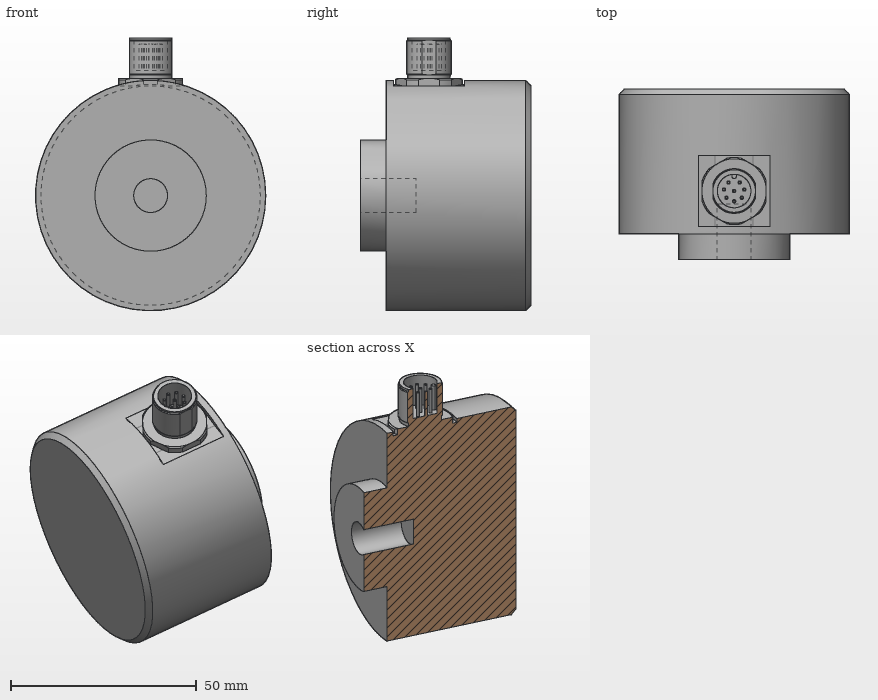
import cadquery as cq
import math

body_radius = 31.0
body_length = 39.0
body_chamfer = 1.5

boss_radius = 15.0
boss_length = 7.0
hole_radius = 4.55
hole_depth = 15.0

pocket_floor_z = 29.45
pocket_crown_radius = 29.9
pocket_length = 19.0
pocket_front_margin = 2.0

nut_across_flats = 17.2
nut_diameter = 18.1
nut_top_z = body_radius + 0.5
nut_chamfer = 0.4

connector_top_z = 42.45
neck_length = 0.95
barrel_diameter = 12.05
barrel_radius = barrel_diameter / 2
barrel_across_flats = 11.45
rim_length = 0.6
barrel_taper_length = 0.2
socket_diameter = 9.0
socket_radius = socket_diameter / 2
socket_depth = 8.8

ring_pin_count = 7
pin_ring_diameter = 5.5
pin_ring_radius = pin_ring_diameter / 2
pin_angle_step = 49.0
pin_radius = 0.45
pin_chamfer = 0.15
key_width = 1.2
key_reach = 1.2
pin_recess = 1.7

neck_radius = barrel_across_flats / 2

body_front_y = -body_length / 2
connector_y = body_front_y + pocket_front_margin + pocket_length / 2
socket_floor_z = connector_top_z - socket_depth
pin_top_z = connector_top_z - pin_recess


def cylinder_along_y(radius, start_y, length):
    return cq.Workplane("XZ", origin=(0, start_y, 0)).circle(radius).extrude(-length)


def connector_plane(z):
    return cq.Workplane("XY", origin=(0, connector_y, z))


def make_housing():
    body = cylinder_along_y(body_radius, body_front_y, body_length)
    body = body.faces(">Y").chamfer(body_chamfer)
    boss = cylinder_along_y(boss_radius, body_front_y - boss_length, boss_length)
    hole = cylinder_along_y(hole_radius, body_front_y - boss_length, hole_depth)
    return body.union(boss).cut(hole)


def make_pocket():
    """Flat-floored recess whose middle follows a slightly smaller cylinder."""
    width = 2 * body_radius
    height = body_radius - pocket_floor_z
    recess = connector_plane(pocket_floor_z).rect(width, pocket_length).extrude(height)
    crown = cylinder_along_y(pocket_crown_radius, connector_y - pocket_length / 2, pocket_length)
    return recess.cut(crown)


def make_nut():
    height = nut_top_z - pocket_floor_z
    across_corners = nut_across_flats / math.cos(math.radians(30))
    hexagon = connector_plane(pocket_floor_z).transformed(rotate=(0, 0, 30))
    hexagon = hexagon.polygon(6, across_corners).extrude(height)
    rounding = connector_plane(pocket_floor_z).circle(nut_diameter / 2).extrude(height)
    rounding = rounding.faces(">Z").chamfer(nut_chamfer)
    return hexagon.intersect(rounding)


def make_barrel():
    """Turned barrel with a narrower neck and rim, flats on +X and -X, and a socket."""
    length = connector_top_z - nut_top_z
    barrel_end = length - rim_length
    outline = (
        cq.Workplane("XZ", origin=(0, connector_y, nut_top_z))
        .lineTo(neck_radius, 0)
        .lineTo(neck_radius, neck_length)
        .lineTo(barrel_radius, neck_length + barrel_taper_length)
        .lineTo(barrel_radius, barrel_end - barrel_taper_length)
        .lineTo(neck_radius, barrel_end)
        .lineTo(neck_radius, length)
        .lineTo(0, length)
        .close()
    )
    turned = outline.revolve(360, (0, 0, 0), (0, 1, 0))
    flats = connector_plane(nut_top_z).rect(barrel_across_flats, barrel_diameter)
    flats = flats.extrude(length)
    socket = connector_plane(socket_floor_z).circle(socket_radius).extrude(socket_depth)
    return turned.intersect(flats).cut(socket)


def make_pins():
    """One centre pin and a ring of pins with a wider gap beside the key."""
    first_angle = -90 - pin_angle_step * (ring_pin_count - 1) / 2
    centres = [(0, 0)]
    for index in range(ring_pin_count):
        angle = math.radians(first_angle + index * pin_angle_step)
        centres.append((pin_ring_radius * math.cos(angle), pin_ring_radius * math.sin(angle)))
    pins = connector_plane(socket_floor_z).pushPoints(centres).circle(pin_radius)
    pins = pins.extrude(pin_top_z - socket_floor_z)
    return pins.faces(">Z").chamfer(pin_chamfer)


def make_key():
    """Round-nosed rib on the +Y side of the socket wall."""
    half_width = key_width / 2
    nose_y = socket_radius - key_reach
    root_y = (socket_radius + barrel_across_flats / 2) / 2
    key = (
        connector_plane(socket_floor_z)
        .moveTo(-half_width, root_y)
        .lineTo(-half_width, nose_y + half_width)
        .threePointArc((0, nose_y), (half_width, nose_y + half_width))
        .lineTo(half_width, root_y)
        .close()
    )
    return key.extrude(pin_top_z - socket_floor_z)


result = make_housing().cut(make_pocket())
for feature in (make_nut(), make_barrel(), make_pins(), make_key()):
    result = result.union(feature)